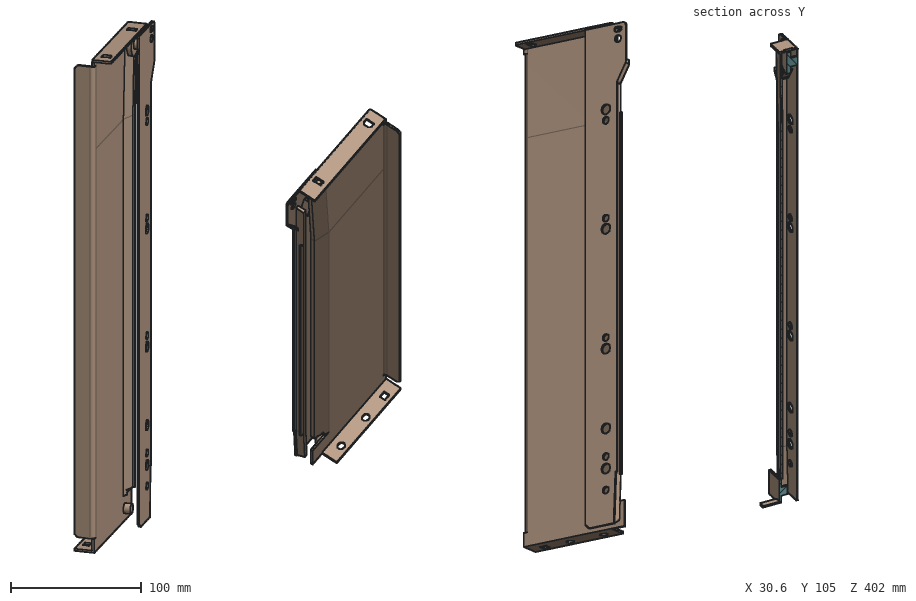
import cadquery as cq
import math


panel_thickness = 1.8
rail_thickness = 1.5
half_length = 201.0
cut_margin = 4.0

panel_x = -1.2
panel_back_x = panel_x + panel_thickness
edge_y = -52.5
panel_bottom_z = -199.5
panel_top_z = half_length - panel_thickness
foot_top_z = -178.5
foot_y = 41.0
crease_z = 128.2
joggle_start_y = 20.5
joggle_end_y = 33.5
joggle_start_top_y = 23.7
joggle_end_top_y = 37.0
top_lean = 0.5
joggle_x = 3.0
lip_end_x = 6.0
joggle_gap = 4.0
joggle_gap_y = 25.0

flange_tip_x = -15.3
flange_bottom_z = -188.0
flange_top_z = 195.5
bend_radius = 3.5
flange_chamfer = 2.5

foot_flange_y = 29.0
foot_hole_x = -9.2
foot_slot_ys = (15.3, -16.0)
foot_slot_width = 5.2
foot_slot_length = 6.5
foot_window_y = -39.8
foot_window_width = 5.0
foot_window_length = 5.5

head_near_y = -52.0
head_far_y = 38.0
head_corner_radius = 1.5
head_hole_x = 7.0
head_window_y = 23.0
head_window_width = 7.2
head_window_length = 4.0
head_slot_y = -40.5
head_slot_width = 7.2
head_slot_height = 5.2
head_slot_corner = 2.5

pin_radius = 4.0
pin_y = 24.0
pin_z = -189.5

rail_back_x = 15.3
rail_web_x = rail_back_x - rail_thickness
rail_top_z = 199.0
web_near_y = 15.0
web_corner = 3.2
ear_y = 52.5
ear_corner_radius = 3.0
ear_bottom_z = 166.0
ear_root_z = 151.5
brace_depth = 3.5
runner_x = 6.5
runner_y = 39.5
runner_thickness = 3.0
runner_far_y = runner_y + runner_thickness
runner_top_z = 179.3
taper_z = -160.0
taper_shift = 1.5
runner_cut_height = 5.0
runner_lip_top_z = 129.5
runner_lip_lean = 1.2
web_far_y = 44.2
web_taper_y = 43.0

tab_low_y = 37.0
tab_low_z = 167.2
tab_high_y = 30.0
tab_high_z = 178.5

web_hole_y = 34.0
large_hole_radius = 4.0
small_hole_radius = 3.0
large_hole_zs = (132.0, 36.0, -60.0, -124.0, -156.0)
small_hole_zs = (123.0, 44.5, -51.0, -146.5, -173.3)
ear_hole_y = 45.5
ear_hole_z = 186.5
ear_hole_radius = 3.0
ear_slot_z = 194.0
ear_slot_length = 7.0
ear_slot_height = 4.0

roller_x = 5.2
roller_width = 3.5
roller_radius = 9.5
roller_y = 24.0
roller_z = 189.0
axle_radius = 4.0


def box(x0, x1, y0, y1, z0, z1):
    """Box between two corners."""
    return cq.Workplane("XY").box(x1 - x0, y1 - y0, z1 - z0, centered=False).translate((x0, y0, z0))


def x_cylinder(x0, x1, y, z, radius):
    """Cylinder lying along X."""
    return cq.Workplane("YZ", origin=(x0, y, z)).circle(radius).extrude(x1 - x0)


def joggle_section(start_y, end_y, lean):
    """Outline in XY of the panel with its joggle and lip."""
    return [
        (panel_x, edge_y + bend_radius),
        (panel_x + lean, start_y),
        (joggle_x, end_y),
        (lip_end_x, end_y),
        (lip_end_x, end_y - panel_thickness),
        (joggle_x + panel_thickness, end_y - panel_thickness),
        (panel_back_x + lean, start_y),
        (panel_back_x, edge_y + bend_radius),
    ]


def panel_sheet():
    """Foot, straight joggled stretch and angled joggled stretch up to the top."""
    foot = box(panel_x, panel_back_x, edge_y + bend_radius, foot_y, panel_bottom_z, foot_top_z)
    middle_section = joggle_section(joggle_start_y, joggle_end_y, 0)
    top_section = joggle_section(joggle_start_top_y, joggle_end_top_y, top_lean)
    straight = (
        cq.Workplane("XY", origin=(0, 0, foot_top_z)).polyline(middle_section).close()
        .extrude(crease_z - foot_top_z)
    )
    angled = (
        cq.Workplane("XY", origin=(0, 0, crease_z)).polyline(middle_section).close()
        .workplane(offset=panel_top_z - crease_z).polyline(top_section).close()
        .loft(ruled=True)
    )
    notch = box(
        panel_x - cut_margin, lip_end_x + cut_margin, joggle_gap_y, foot_y,
        foot_top_z, foot_top_z + joggle_gap,
    )
    return foot.union(straight.cut(notch)).union(angled)


def long_flange():
    """Rounded fold along the lower edge, with flat corners of the panel beyond its ends."""
    bend_y = edge_y + bend_radius
    bend_x = panel_back_x - bend_radius
    inner_radius = bend_radius - panel_thickness
    diagonal = math.sqrt(0.5)
    fold = (
        cq.Workplane("XY", origin=(0, 0, flange_bottom_z))
        .moveTo(panel_back_x, bend_y)
        .threePointArc(
            (bend_x + bend_radius * diagonal, bend_y - bend_radius * diagonal), (bend_x, edge_y)
        )
        .lineTo(flange_tip_x, edge_y)
        .lineTo(flange_tip_x, edge_y + panel_thickness)
        .lineTo(bend_x, edge_y + panel_thickness)
        .threePointArc(
            (bend_x + inner_radius * diagonal, bend_y - inner_radius * diagonal), (panel_x, bend_y)
        )
        .close()
        .extrude(flange_top_z - flange_bottom_z)
        .edges("|Y and <X").chamfer(flange_chamfer)
    )
    lower_corner = box(panel_x, panel_back_x, edge_y, bend_y, panel_bottom_z, flange_bottom_z)
    upper_corner = box(panel_x, panel_back_x, edge_y, bend_y, flange_top_z, panel_top_z)
    return fold.union(lower_corner).union(upper_corner)


def foot_flange():
    """Bottom flange with two slots and a window."""
    flange = box(
        flange_tip_x, panel_back_x, edge_y, foot_flange_y, panel_bottom_z, panel_bottom_z + panel_thickness
    )
    holes = cq.Workplane("XY", origin=(0, 0, panel_bottom_z))
    slots = (
        holes.pushPoints([(foot_hole_x, y) for y in foot_slot_ys])
        .slot2D(foot_slot_length, foot_slot_width, angle=90).extrude(panel_thickness)
    )
    window = (
        holes.center(foot_hole_x, foot_window_y)
        .rect(foot_window_width, foot_window_length).extrude(panel_thickness)
    )
    return flange.cut(slots).cut(window)


def head_flange():
    """Top flange with a window and a round-topped slot."""
    flange = (
        box(panel_x, rail_web_x, head_near_y, head_far_y, panel_top_z, half_length)
        .edges("|Z and >X and <Y").fillet(head_corner_radius)
    )
    holes = cq.Workplane("XY", origin=(head_hole_x, 0, panel_top_z))
    window = (
        holes.center(0, head_window_y)
        .rect(head_window_width, head_window_length).extrude(panel_thickness)
    )
    slot = (
        holes.center(0, head_slot_y).rect(head_slot_width, head_slot_height).extrude(panel_thickness)
        .edges("|Z and >Y").fillet(head_slot_corner)
    )
    return flange.cut(window).cut(slot)


def make_side_panel():
    pin = x_cylinder(panel_back_x, lip_end_x, pin_y, pin_z, pin_radius)
    return panel_sheet().union(long_flange()).union(foot_flange()).union(head_flange()).union(pin)


def rail_web():
    """Flat web with the ear at its top."""
    return (
        cq.Workplane("YZ", origin=(rail_web_x, 0, 0))
        .moveTo(web_near_y, rail_top_z)
        .lineTo(ear_y, rail_top_z)
        .lineTo(ear_y, ear_bottom_z)
        .lineTo(web_far_y, ear_root_z)
        .lineTo(web_far_y, taper_z)
        .lineTo(web_taper_y, taper_z)
        .lineTo(web_taper_y - taper_shift, -half_length)
        .lineTo(web_near_y + web_corner, -half_length)
        .lineTo(web_near_y, -half_length + web_corner)
        .close()
        .extrude(rail_thickness)
        .edges("|X and >Y and >Z").fillet(ear_corner_radius)
    )


def ear_brace():
    """Fold along the sloping edge of the ear."""
    run_y = ear_y - web_far_y
    run_z = ear_bottom_z - ear_root_z
    rise = rail_thickness * math.hypot(run_y, run_z) / run_y
    return (
        cq.Workplane("YZ", origin=(rail_web_x - brace_depth, 0, 0))
        .polyline([
            (ear_y, ear_bottom_z),
            (ear_y, ear_bottom_z + rise),
            (web_far_y, ear_root_z + rise),
            (web_far_y, ear_root_z),
        ])
        .close().extrude(brace_depth)
    )


def runner():
    """Flange that leans inwards near its slanted lower end, with a lip along its free edge."""
    flange = (
        cq.Workplane("YZ", origin=(runner_x, 0, 0))
        .polyline([
            (runner_y, runner_top_z),
            (runner_far_y, runner_top_z),
            (runner_far_y, taper_z),
            (runner_far_y - taper_shift, -half_length),
            (runner_y - taper_shift, -half_length),
            (runner_y, taper_z),
        ])
        .close().extrude(rail_web_x - runner_x)
    )
    slanted_end = (
        cq.Workplane("XZ", origin=(0, runner_far_y, 0))
        .polyline([
            (runner_x, -half_length),
            (rail_web_x, -half_length),
            (runner_x, -half_length + runner_cut_height),
        ])
        .close().extrude(runner_thickness + taper_shift)
    )
    lip = (
        cq.Workplane("XY", origin=(0, 0, taper_z))
        .polyline([
            (runner_x, runner_y),
            (runner_x, runner_far_y),
            (runner_x + runner_lip_lean, web_far_y),
            (runner_x + runner_lip_lean + rail_thickness, web_far_y),
            (runner_x + rail_thickness, runner_far_y),
            (runner_x + rail_thickness, runner_y),
        ])
        .close().extrude(runner_lip_top_z - taper_z)
    )
    return flange.cut(slanted_end).union(lip)


def sloping_tab():
    """Inclined tab standing on the web."""
    return (
        cq.Workplane("YZ", origin=(runner_x, 0, 0))
        .polyline([
            (tab_low_y, tab_low_z),
            (tab_high_y, tab_high_z),
            (tab_high_y + rail_thickness, tab_high_z),
            (tab_low_y, tab_low_z + rail_thickness),
        ])
        .close().extrude(rail_web_x - runner_x)
    )


def rail_holes():
    """Row of fixing holes in the web, and the hole and slot in the ear."""
    face = cq.Workplane("YZ", origin=(rail_web_x, 0, 0))
    large = (
        face.pushPoints([(web_hole_y, z) for z in large_hole_zs])
        .circle(large_hole_radius).extrude(rail_thickness)
    )
    small = (
        face.pushPoints([(web_hole_y, z) for z in small_hole_zs])
        .circle(small_hole_radius).extrude(rail_thickness)
    )
    ear_hole = face.center(ear_hole_y, ear_hole_z).circle(ear_hole_radius).extrude(rail_thickness)
    ear_slot = (
        face.center(ear_hole_y, ear_slot_z)
        .slot2D(ear_slot_length, ear_slot_height).extrude(rail_thickness)
    )
    return [large, small, ear_hole, ear_slot]


def roller():
    """Roller disc on its axle."""
    disc = x_cylinder(roller_x, roller_x + roller_width, roller_y, roller_z, roller_radius)
    axle = x_cylinder(roller_x, rail_web_x, roller_y, roller_z, axle_radius)
    return disc.union(axle)


def make_slide_rail():
    rail = rail_web().union(ear_brace()).union(runner()).union(sloping_tab())
    for holes in rail_holes():
        rail = rail.cut(holes)
    return rail.union(roller())


side_panel = make_side_panel()
slide_rail = make_slide_rail()

result = cq.Compound.makeCompound([side_panel.val(), slide_rail.val()])